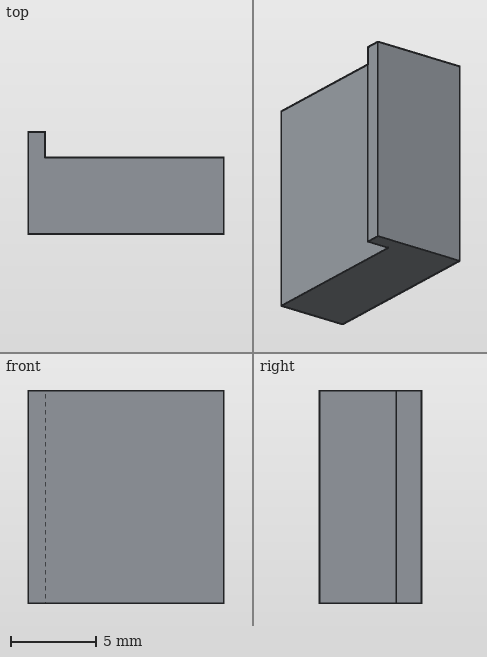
import cadquery as cq

width = 11.5
height = 12.5
body_depth = 4.5
lip_thickness = 1.0
lip_projection = 1.5

total_depth = body_depth + lip_projection

profile = [
    (0, 0),
    (width, 0),
    (width, body_depth),
    (lip_thickness, body_depth),
    (lip_thickness, total_depth),
    (0, total_depth),
]

result = cq.Workplane("XY").polyline(profile).close().extrude(height)